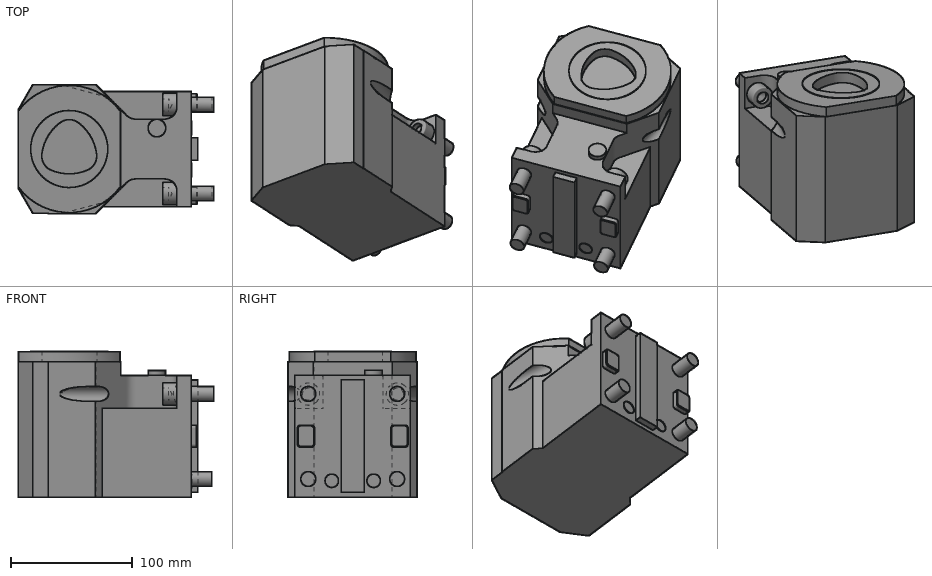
import cadquery as cq
import math


front_x = -41.9
step_x = 42.4
housing_half_width = 52.8
housing_height = 111.0
front_corner_y = 32.1
front_chamfer_angle = 60
rear_plane_sum = 74.6
side_pad_x = -17.0
side_pad_thickness = 0.3

cap_radius = 52.2
cap_half_length = 41.7
cap_thickness = 8.5
ring_radius = 31.6
ring_height = 0.5
recess_corner_radius = 12.7
recess_corner_offset = 11.4
recess_flank_distance = 20.4

mount_x = 100.2
mount_half_width = 47.3
mount_height = 100.0

pocket_floor_z = 73.0
neck_half_width = 24.5
pocket_wall_x = 88.3
pocket_corner_radius = 10.0
pocket_overcut = 1.6

bolt_y = 36.5
upper_bolt_z = 84.9
lower_bolt_z = 15.1
bolt_diameter = 12.2
upper_bolt_end_x = 118.6
lower_bolt_end_x = 117.0
head_diameter = 18.3
head_height = 11.7
head_edge_fillet = 1.0
socket_diameter = 10.0
socket_depth = 4.8
socket_cone_depth = 2.7

groove_diameter = bolt_diameter
groove_angle = 15
groove_length = 144.5
groove_aim_x = 78.0

button_x = 71.9
button_y = 17.2
button_radius = 7.2
button_height = 4.2

key_center_z = 50.2
upright_key_width = 18.6
upright_key_length = 92.1
upright_key_height = 5.3
side_key_outer_y = 45.5
side_key_inner_y = 31.3
side_key_width = 18.0
side_key_height = 4.8
side_key_corner_radius = 2.5
side_key_edge_chamfer = 0.6
seal_y = 17.2
seal_z = 13.6
seal_diameter = 11.0
seal_height = 0.5


def x_cylinder(x_start, x_end, y, z, diameter):
    """Cylinder along +X between two X positions."""
    plane = cq.Workplane("YZ", origin=(x_start, y, z))
    return plane.circle(diameter / 2).extrude(x_end - x_start)


def make_housing():
    chamfer_run = (housing_half_width - front_corner_y) / math.tan(math.radians(front_chamfer_angle))
    side_start_x = front_x + chamfer_run
    side_end_x = rear_plane_sum - housing_half_width
    step_y = rear_plane_sum - step_x
    half = [
        (front_x, front_corner_y),
        (side_start_x, housing_half_width),
        (side_end_x, housing_half_width),
        (step_x, step_y),
    ]
    outline = half + [(x, -y) for x, y in reversed(half)]
    housing = cq.Workplane("XY").polyline(outline).close().extrude(housing_height)

    pad_y = -housing_half_width - side_pad_thickness
    pad_outline = [
        (side_pad_x, 0),
        (side_pad_x, pad_y),
        (rear_plane_sum + pad_y, pad_y),
        (step_x, -step_y),
        (step_x, 0),
    ]
    pad = cq.Workplane("XY").polyline(pad_outline).close().extrude(housing_height)
    return housing.union(pad)


def make_cap():
    disc = cq.Workplane("XY", origin=(0, 0, housing_height)).circle(cap_radius).extrude(cap_thickness)
    flats = cq.Workplane("XY", origin=(0, 0, housing_height)).rect(2 * cap_half_length, 2 * cap_radius)
    cap = disc.intersect(flats.extrude(cap_thickness))
    ring_base = housing_height + cap_thickness
    ring = cq.Workplane("XY", origin=(0, 0, ring_base)).circle(ring_radius).extrude(ring_height)
    return cap.union(ring).cut(make_recess(cap_thickness + ring_height))


def make_recess(depth):
    """Three-lobed recess: corner arcs joined by tangent flank arcs, one corner toward +Y."""
    third = math.radians(120)
    half_third = third / 2
    gap = recess_flank_distance - recess_corner_radius
    flank_offset = (recess_corner_offset**2 - gap**2) / (2 * gap - recess_corner_offset)
    half_sweep = math.atan2(
        recess_corner_offset * math.sin(half_third),
        recess_corner_offset * math.cos(half_third) + flank_offset,
    )

    def polar(radius, angle):
        return radius * math.cos(angle), radius * math.sin(angle)

    def tangent_point(corner_angle, direction):
        cx, cy = polar(recess_corner_offset, corner_angle)
        dx, dy = polar(recess_corner_radius, direction)
        return cx + dx, cy + dy

    corner_half_sweep = half_third - half_sweep
    first_corner = math.radians(90)
    outline = cq.Workplane("XY", origin=(0, 0, housing_height))
    outline = outline.moveTo(*tangent_point(first_corner, first_corner - corner_half_sweep))
    for index in range(3):
        corner = first_corner + index * third
        next_corner = corner + third
        tip = polar(recess_corner_offset + recess_corner_radius, corner)
        flank_middle = polar(recess_flank_distance, corner + half_third)
        outline = outline.threePointArc(tip, tangent_point(corner, corner + corner_half_sweep))
        flank_end = tangent_point(next_corner, next_corner - corner_half_sweep)
        outline = outline.threePointArc(flank_middle, flank_end)
    return outline.close().extrude(depth)


def make_mount():
    block = cq.Workplane("XY").box(mount_x, 2 * mount_half_width, mount_height, centered=(False, True, False))
    button = cq.Workplane("XY", origin=(button_x, button_y, mount_height)).circle(button_radius)
    return block.union(button.extrude(button_height))


def make_pocket():
    """Pocket on the +Y side, open to the top and to the side."""
    outer_y = housing_half_width + pocket_overcut
    outline = [
        (rear_plane_sum - outer_y, outer_y),
        (rear_plane_sum - neck_half_width, neck_half_width),
        (pocket_wall_x, neck_half_width),
        (pocket_wall_x, outer_y),
    ]
    pocket = cq.Workplane("XY", origin=(0, 0, pocket_floor_z)).polyline(outline).close()
    pocket = pocket.extrude(housing_height - pocket_floor_z)
    return pocket.edges("|Z and <Y").fillet(pocket_corner_radius)


def make_groove():
    """Inclined bore on the +Y side, aimed at the head of the upper bolt."""
    angle = math.radians(groove_angle)
    direction = cq.Vector(-math.cos(angle), math.sin(angle), 0)
    start = cq.Vector(groove_aim_x, bolt_y, upper_bolt_z)
    return cq.Workplane(cq.Solid.makeCylinder(groove_diameter / 2, groove_length, start, direction))


def make_upper_bolt():
    head_face_x = pocket_wall_x - head_height
    head = x_cylinder(head_face_x, pocket_wall_x, bolt_y, upper_bolt_z, head_diameter)
    head = head.edges("<X").fillet(head_edge_fillet)
    socket = x_cylinder(head_face_x, head_face_x + socket_depth, bolt_y, upper_bolt_z, socket_diameter)
    cone_base = cq.Vector(head_face_x + socket_depth, bolt_y, upper_bolt_z)
    cone = cq.Solid.makeCone(socket_diameter / 2, 0, socket_cone_depth, cone_base, cq.Vector(1, 0, 0))
    shank = x_cylinder(pocket_wall_x, upper_bolt_end_x, bolt_y, upper_bolt_z, bolt_diameter)
    return head.cut(socket).cut(cq.Workplane(cone)).union(shank)


def make_side_key():
    middle_y = (side_key_outer_y + side_key_inner_y) / 2
    key = cq.Workplane("YZ", origin=(mount_x, middle_y, key_center_z))
    key = key.rect(side_key_outer_y - side_key_inner_y, side_key_width).extrude(side_key_height)
    key = key.edges("|X").fillet(side_key_corner_radius)
    return key.faces(">X").edges().chamfer(side_key_edge_chamfer)


def make_upright_key():
    key = cq.Workplane("YZ", origin=(mount_x, 0, key_center_z))
    return key.rect(upright_key_width, upright_key_length).extrude(upright_key_height)


def both_sides(shape):
    """A +Y side feature together with its mirror image on the -Y side."""
    return [shape, shape.mirror("XZ")]


result = make_housing().union(make_mount())
for cutter in both_sides(make_pocket()) + both_sides(make_groove()):
    result = result.cut(cutter)

lower_bolt = x_cylinder(mount_x, lower_bolt_end_x, bolt_y, lower_bolt_z, bolt_diameter)
seal = x_cylinder(mount_x, mount_x + seal_height, seal_y, seal_z, seal_diameter)
result = result.union(make_cap()).union(make_upright_key())
for feature in (make_upper_bolt(), lower_bolt, make_side_key(), seal):
    for side_feature in both_sides(feature):
        result = result.union(side_feature)